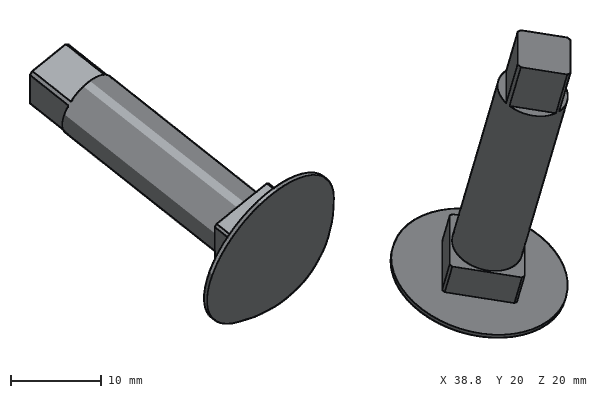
import cadquery as cq
import math

total_length = 38.75
tip_length = 6.0
neck_start = 30.05
head_start = 34.02
rim_thickness = 0.5

tip_width = 6.0
shank_diameter = 8.0
neck_width = 8.5
neck_corner_diameter = 11.6
head_diameter = 20.0


def round_bar(start, end, diameter):
    """Cylinder along the bolt axis."""
    return cq.Workplane("YZ", origin=(start, 0, 0)).circle(diameter / 2).extrude(end - start)


def square_bar(start, end, width, corner_diameter):
    """Square bar whose long edges are trimmed by a coaxial cylinder."""
    square = cq.Workplane("YZ", origin=(start, 0, 0)).rect(width, width).extrude(end - start)
    return square.intersect(round_bar(start, end, corner_diameter))


def domed_head():
    """Thin cylindrical rim closed by a spherical cap, revolved about the bolt axis."""
    radius = head_diameter / 2
    dome_start = head_start + rim_thickness
    dome_height = total_length - dome_start
    sphere_radius = (radius**2 + dome_height**2) / (2 * dome_height)
    sphere_center = total_length - sphere_radius
    half_angle = math.asin(radius / sphere_radius) / 2
    arc_middle = (
        sphere_center + sphere_radius * math.cos(half_angle),
        sphere_radius * math.sin(half_angle),
    )
    profile = (
        cq.Workplane("XY")
        .moveTo(head_start, 0)
        .lineTo(head_start, radius)
        .lineTo(dome_start, radius)
        .threePointArc(arc_middle, (total_length, 0))
        .close()
    )
    return profile.revolve(360, (0, 0, 0), (1, 0, 0))


tip = square_bar(0, tip_length, tip_width, shank_diameter)
shank = round_bar(tip_length, neck_start, shank_diameter)
neck = square_bar(neck_start, head_start, neck_width, neck_corner_diameter)

result = tip.union(shank).union(neck).union(domed_head())